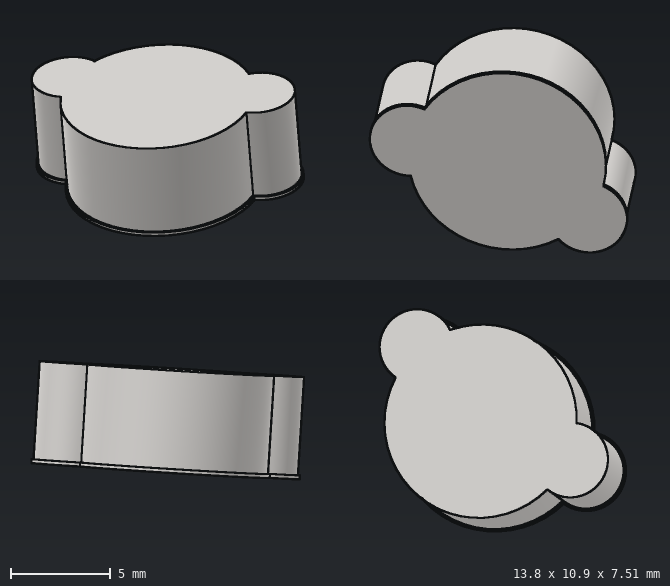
import cadquery as cq

tilt_angle = 15.0
main_radius = 4.88
lobe_radius = 1.88
lobe_offset_x = 4.9
lobe_offset_y = 1.11
total_height = 5.13
flange_width = 0.1
flange_thickness = 0.2


def lobed_prism(outward_offset, height):
    """Central disc with two side lobes, grown outward by an offset."""
    prism = cq.Workplane("XY").circle(main_radius + outward_offset).extrude(height)
    for side in (-1, 1):
        lobe = (
            cq.Workplane("XY")
            .center(side * lobe_offset_x, lobe_offset_y)
            .circle(lobe_radius + outward_offset)
            .extrude(height)
        )
        prism = prism.union(lobe)
    return prism


body = lobed_prism(0, total_height)
flange = lobed_prism(flange_width, flange_thickness)
upright_part = body.union(flange)

result = upright_part.rotate((0, 0, 0), (1, 0, 0), tilt_angle)